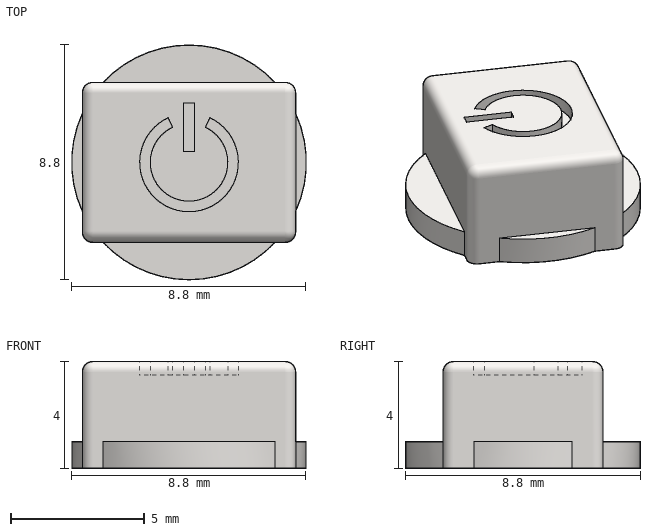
import cadquery as cq
import math

flange_diameter = 8.8
flange_height = 1.0
body_length = 8.0
body_width = 6.0
body_height = 4.0
edge_radius = 0.4

groove_width = 0.4
engraving_depth = 0.5
ring_outer_radius = 1.85
ring_inner_radius = ring_outer_radius - groove_width
gap_half_angle = 25.0
bar_bottom = 0.405
bar_top = 2.22


def make_body():
    """Block with rounded upright and top edges, standing on Z = 0."""
    block = cq.Workplane("XY").box(body_length, body_width, body_height, centered=(True, True, False))
    return block.edges("|Z or >Z").fillet(edge_radius)


def make_flange():
    """Round base disc that shows beyond the four sides of the body."""
    return cq.Workplane("XY").circle(flange_diameter / 2).extrude(flange_height)


def ring_point(radius, angle_from_y):
    """Point on a circle, with the angle in degrees clockwise from +Y."""
    angle = math.radians(angle_from_y)
    return (radius * math.sin(angle), radius * math.cos(angle))


def make_open_ring(floor):
    """Ring cutter with radial ends either side of the gap."""
    return (
        floor.moveTo(*ring_point(ring_outer_radius, gap_half_angle))
        .threePointArc((0, -ring_outer_radius), ring_point(ring_outer_radius, -gap_half_angle))
        .lineTo(*ring_point(ring_inner_radius, -gap_half_angle))
        .threePointArc((0, -ring_inner_radius), ring_point(ring_inner_radius, gap_half_angle))
        .close()
        .extrude(engraving_depth)
    )


def make_bar(floor):
    """Straight bar cutter through the gap of the ring."""
    return (
        floor.center(0, (bar_bottom + bar_top) / 2)
        .rect(groove_width, bar_top - bar_bottom)
        .extrude(engraving_depth)
    )


engraving_floor = cq.Workplane("XY", origin=(0, 0, body_height - engraving_depth))
open_ring = make_open_ring(engraving_floor)
bar = make_bar(engraving_floor)

result = make_body().union(make_flange()).cut(open_ring).cut(bar)